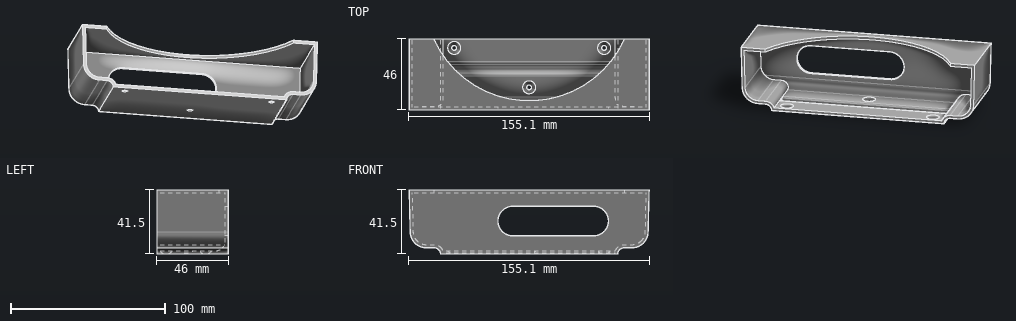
import cadquery as cq
import math

length = 155.1
depth = 46.0
height = 41.5
wall = 2.0

side_lean = 1.0
step_height = 4.0
foot_half_width = 57.2
corner_radius = 10.5

scallop_front = 6.0
scallop_half_width = 61.6

window_length = 71.2
window_height = 19.0
window_x = 15.5
window_z = 21.4

front_fillet = 6.5

groove_y = 26.7
groove_half_width = 4.7
bowl_half_width = 2.8
groove_depth = 1.4

hole_radius = 1.47
countersink_radius = 4.2
front_hole_y = 14.7
back_hole_y = 40.2
back_hole_x = 48.4

arc_center_x = foot_half_width + step_height


def end_profile():
    """Closed X-Z outline of the cover, on the front face."""
    half_length = length / 2

    hollow_x = arc_center_x - step_height * math.cos(math.pi / 4)
    hollow_z = step_height * math.sin(math.pi / 4)

    lean = math.atan(side_lean / (height - step_height))
    tangent_length = corner_radius * math.tan((math.pi / 2 - lean) / 2)
    center_x = half_length - side_lean - tangent_length
    center_z = step_height + corner_radius

    def corner_point(angle):
        """Point on the right corner arc, at an angle below horizontal."""
        x = center_x + corner_radius * math.cos(angle)
        z = center_z - corner_radius * math.sin(angle)
        return x, z

    side_x, side_z = corner_point(lean)
    corner_x, corner_z = corner_point((math.pi / 2 + lean) / 2)

    return (
        cq.Workplane("XZ")
        .moveTo(-foot_half_width, 0)
        .lineTo(foot_half_width, 0)
        .threePointArc((hollow_x, hollow_z), (arc_center_x, step_height))
        .lineTo(center_x, step_height)
        .threePointArc((corner_x, corner_z), (side_x, side_z))
        .lineTo(half_length, height)
        .lineTo(-half_length, height)
        .lineTo(-side_x, side_z)
        .threePointArc((-corner_x, corner_z), (-center_x, step_height))
        .lineTo(-arc_center_x, step_height)
        .threePointArc((-hollow_x, hollow_z), (-foot_half_width, 0))
        .close()
    )


def make_cavity():
    """Inside space: the outline moved in by the wall, open at the back."""
    cavity = end_profile().offset2D(-wall).extrude(-depth)
    cavity = cavity.translate((0, wall, 0))
    return cavity.faces("<Z").edges("<Y").fillet(front_fillet)


def make_groove():
    """Shallow round-bottomed groove with rounded lips, as long as the floor."""
    inner_radius = step_height + wall
    floor_half_length = arc_center_x - math.sqrt(inner_radius**2 - wall**2)

    slope = 2 * math.atan(groove_depth / groove_half_width)
    lip_radius = (groove_half_width - bowl_half_width) / math.sin(slope)
    bend_z = wall - lip_radius * (1 - math.cos(slope))
    lip_offset = groove_half_width - lip_radius * math.sin(slope / 2)
    lip_z = wall - lip_radius * (1 - math.cos(slope / 2))

    return (
        cq.Workplane("YZ", origin=(0, groove_y, 0))
        .moveTo(-groove_half_width, wall)
        .threePointArc((-lip_offset, lip_z), (-bowl_half_width, bend_z))
        .threePointArc((0, wall - groove_depth), (bowl_half_width, bend_z))
        .threePointArc((lip_offset, lip_z), (groove_half_width, wall))
        .close()
        .extrude(floor_half_length, both=True)
    )


def make_scallop():
    """Large round cut through the top plate, running out at the back edge."""
    rise = depth - scallop_front
    radius = (scallop_half_width**2 + rise**2) / (2 * rise)
    return (
        cq.Workplane("XY", origin=(0, scallop_front + radius, height - wall))
        .circle(radius)
        .extrude(wall)
    )


def make_window():
    """Round-ended window through the front wall."""
    return (
        cq.Workplane("XZ", origin=(window_x, 0, window_z))
        .slot2D(window_length, window_height)
        .extrude(-wall)
    )


def make_screw_hole(x, y):
    """Hole through the floor, widening upward as a cone."""
    return (
        cq.Workplane("XY", origin=(x, y, 0))
        .circle(hole_radius)
        .workplane(offset=wall)
        .circle(countersink_radius)
        .loft()
    )


hole_places = [
    (0, front_hole_y),
    (-back_hole_x, back_hole_y),
    (back_hole_x, back_hole_y),
]

result = end_profile().extrude(-depth)
result = result.cut(make_cavity())
result = result.cut(make_groove())
result = result.cut(make_scallop())
result = result.cut(make_window())
for hole_x, hole_y in hole_places:
    result = result.cut(make_screw_hole(hole_x, hole_y))